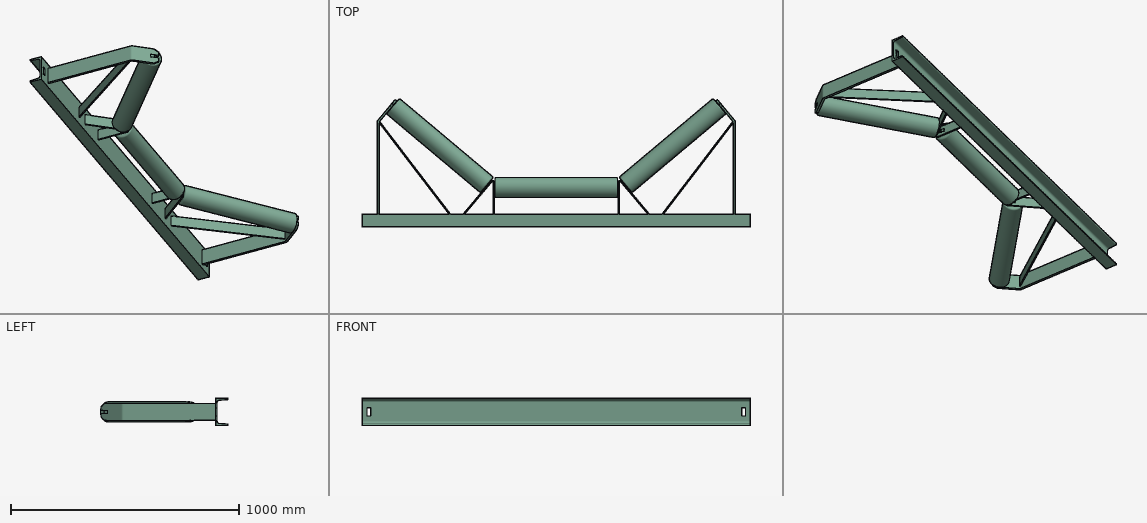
import cadquery as cq
import math

channel_length = 1700.0
channel_height = 120.0
channel_depth = 55.0
web_thickness = 7.0
flange_mean_thickness = 9.0
flange_taper = 0.08
root_radius = 9.0
toe_radius = 4.5
mounting_slot_width = 15.0
mounting_slot_length = 35.0
mounting_slot_end_distance = 30.0

roller_diameter = 89.0
roller_length = 538.0
roller_edge_radius = 7.0
shaft_diameter = 20.0
shaft_flat_width = 14.0
end_gap = 1.0
trough_angle = 40.0
overall_depth = 559.56
centre_roller_y = 171.5
wing_inner_end_x = 303.0

outer_width = 75.0
outer_thickness = 10.0
outer_bend_radius = 15.0
outer_bend_y = 462.5
outer_tip_y = 557.0
outer_tip_chamfer_across = 14.0
outer_tip_chamfer_along = 22.0
inner_width = 50.0
inner_thickness = 6.0
inner_bend_radius = 10.0
brace_width = 50.0
brace_thickness = 6.0
brace_foot_x = 466.0

sin_trough = math.sin(math.radians(trough_angle))
cos_trough = math.cos(math.radians(trough_angle))
roller_radius = roller_diameter / 2
wing_rim_top = (
    (roller_radius - roller_edge_radius) * cos_trough + roller_edge_radius * (1 - sin_trough)
)
wing_outer_end_y = overall_depth - wing_rim_top
wing_inner_end_y = wing_outer_end_y - roller_length * sin_trough
centre_post_face_x = roller_length / 2 + end_gap


def on_wing_axis(distance):
    """Point on the wing roller's axis, measured outwards from the roller's inner end."""
    return (wing_inner_end_x + distance * cos_trough, wing_inner_end_y + distance * sin_trough)


def on_wing_plate_at_y(axis_distance, y):
    """Point at height y on the plane square to the wing axis at axis_distance."""
    x0, y0 = on_wing_axis(axis_distance)
    return (x0 - (y - y0) * sin_trough / cos_trough, y)


def on_wing_plate_at_x(axis_distance, x):
    """Point at x on the plane square to the wing axis at axis_distance."""
    x0, y0 = on_wing_axis(axis_distance)
    return (x, y0 - (x - x0) * cos_trough / sin_trough)


def plate_extrusion(points, width):
    """Closed outline in the XY plane, extruded symmetrically about Z = 0."""
    return cq.Workplane("XY").polyline(points).close().extrude(width / 2, both=True)


def round_edge(body, midpoint, radius):
    """Fillet the straight edge that has the given midpoint."""
    return body.edges(cq.selectors.NearestToPointSelector(midpoint)).fillet(radius)


def round_bend(body, point, radius):
    """Fillet the bend edge parallel to Z that passes through the XY point."""
    return round_edge(body, (*point, 0), radius)


def make_channel():
    half_height = channel_height / 2
    half_taper = flange_taper * channel_depth / 2
    toe_z = half_height - (flange_mean_thickness - half_taper)
    root_y = channel_depth - web_thickness
    root_z = half_height - (flange_mean_thickness - half_taper + flange_taper * root_y)
    outline = [
        (0, half_height),
        (channel_depth, half_height),
        (channel_depth, -half_height),
        (0, -half_height),
        (0, -toe_z),
        (root_y, -root_z),
        (root_y, root_z),
        (0, toe_z),
    ]
    channel = (
        cq.Workplane("YZ").polyline(outline).close().extrude(channel_length / 2, both=True)
    )
    for side in (1, -1):
        channel = round_edge(channel, (0, root_y, side * root_z), root_radius)
        channel = round_edge(channel, (0, 0, side * toe_z), toe_radius)
    slot_x = channel_length / 2 - mounting_slot_end_distance
    slots = (
        cq.Workplane("XZ")
        .pushPoints([(slot_x, 0), (-slot_x, 0)])
        .rect(mounting_slot_width, mounting_slot_length)
        .extrude(-channel_depth)
    )
    return channel.cut(slots)


def make_roller(start_plate_thickness, end_plate_thickness):
    """Roller along +X from the origin; its shaft ends lie flush with the bracket outsides."""
    shaft_start = -end_gap - start_plate_thickness
    shaft_end = roller_length + end_gap + end_plate_thickness
    barrel = cq.Workplane("YZ").circle(roller_radius).extrude(roller_length)
    barrel = barrel.edges().fillet(roller_edge_radius)
    shaft = (
        cq.Workplane("YZ")
        .workplane(offset=shaft_start)
        .circle(shaft_diameter / 2)
        .extrude(shaft_end - shaft_start)
    )
    between_flats = cq.Workplane("XY").box(
        2 * (roller_length + shaft_end), shaft_diameter, shaft_flat_width
    )
    return barrel.union(shaft.intersect(between_flats))


def make_shaft_slot(axis_point, direction_angle, depth):
    """Cutter for a shaft slot of the given depth along the shaft, open at the plate's tip."""
    seat = (
        cq.Workplane("YZ")
        .rect(shaft_diameter, shaft_flat_width)
        .extrude(depth / 2, both=True)
        .intersect(cq.Workplane("YZ").circle(shaft_diameter / 2).extrude(depth / 2, both=True))
    )
    opening = (
        cq.Workplane("YZ")
        .center(roller_radius, 0)
        .rect(roller_diameter, shaft_flat_width)
        .extrude(depth / 2, both=True)
    )
    cutter = seat.union(opening)
    return cutter.rotate((0, 0, 0), (0, 0, 1), direction_angle).translate((*axis_point, 0))


def make_centre_roller():
    roller = make_roller(inner_thickness, inner_thickness)
    return roller.translate((-roller_length / 2, centre_roller_y, 0))


def make_wing_roller():
    roller = make_roller(inner_thickness, outer_thickness)
    roller = roller.rotate((0, 0, 0), (0, 0, 1), trough_angle)
    return roller.translate((*on_wing_axis(0), 0))


outer_plate_inside = roller_length + end_gap
outer_plate_outside = outer_plate_inside + outer_thickness
inner_plate_near = -end_gap
inner_plate_far = inner_plate_near - inner_thickness

outer_bend_outside = on_wing_plate_at_y(outer_plate_outside, outer_bend_y)
outer_post_outside_x = outer_bend_outside[0]
outer_post_inside_x = outer_post_outside_x - outer_thickness
outer_bend_inside = on_wing_plate_at_x(outer_plate_inside, outer_post_inside_x)


def make_outer_bracket():
    tip_outside = on_wing_plate_at_y(outer_plate_outside, outer_tip_y)
    tip_inside = (
        tip_outside[0] - outer_thickness * cos_trough,
        tip_outside[1] - outer_thickness * sin_trough,
    )
    outline = [
        (outer_post_outside_x, channel_depth),
        outer_bend_outside,
        tip_outside,
        tip_inside,
        outer_bend_inside,
        (outer_post_inside_x, channel_depth),
    ]
    bracket = plate_extrusion(outline, outer_width)
    bracket = round_bend(bracket, outer_bend_outside, outer_bend_radius)
    bracket = round_bend(bracket, outer_bend_inside, outer_bend_radius - outer_thickness)

    corner = (
        cq.Workplane("YZ")
        .moveTo(0, outer_width / 2)
        .lineTo(-outer_tip_chamfer_along, outer_width / 2)
        .lineTo(0, outer_width / 2 - outer_tip_chamfer_across)
        .close()
        .extrude(2 * outer_thickness, both=True)
        .rotate((0, 0, 0), (0, 0, 1), trough_angle)
        .translate((*tip_outside, 0))
    )
    bracket = bracket.cut(corner).cut(corner.mirror("XY"))
    seat_point = on_wing_axis((outer_plate_inside + outer_plate_outside) / 2)
    return bracket.cut(make_shaft_slot(seat_point, trough_angle, 2 * outer_thickness))


def make_inner_bracket():
    post_inside_x = centre_post_face_x + inner_thickness
    outside_apex = on_wing_plate_at_x(inner_plate_near, centre_post_face_x)
    inside_apex = on_wing_plate_at_x(inner_plate_far, post_inside_x)
    outline = [
        (centre_post_face_x, channel_depth),
        outside_apex,
        on_wing_plate_at_y(inner_plate_near, channel_depth),
        on_wing_plate_at_y(inner_plate_far, channel_depth),
        inside_apex,
        (post_inside_x, channel_depth),
    ]
    bracket = plate_extrusion(outline, inner_width)
    bracket = round_bend(bracket, outside_apex, inner_bend_radius)
    bracket = round_bend(bracket, inside_apex, inner_bend_radius - inner_thickness)
    post_seat = (centre_post_face_x + inner_thickness / 2, centre_roller_y)
    wing_seat = on_wing_axis((inner_plate_near + inner_plate_far) / 2)
    bracket = bracket.cut(make_shaft_slot(post_seat, 0, inner_thickness))
    return bracket.cut(make_shaft_slot(wing_seat, trough_angle, inner_thickness))


def make_brace(bracket):
    """Flat strap from the channel to the inside corner of the outer bracket's bend."""
    rise = outer_bend_inside[1] - channel_depth
    run = outer_bend_inside[0] - brace_foot_x
    half_foot = brace_thickness / 2 * math.hypot(rise, run) / rise
    outline = [
        (brace_foot_x - half_foot, channel_depth),
        (brace_foot_x + half_foot, channel_depth),
        (outer_bend_inside[0] + half_foot, outer_bend_inside[1]),
        (outer_bend_inside[0] - half_foot, outer_bend_inside[1]),
    ]
    return plate_extrusion(outline, brace_width).cut(bracket)


channel = make_channel()
centre_roller = make_centre_roller()
wing_roller = make_wing_roller()
outer_bracket = make_outer_bracket()
inner_bracket = make_inner_bracket()
brace = make_brace(outer_bracket)

bodies = [channel, centre_roller]
for wing_body in (wing_roller, outer_bracket, inner_bracket, brace):
    bodies.append(wing_body)
    bodies.append(wing_body.mirror("YZ"))

result = cq.Compound.makeCompound([body.solids().val() for body in bodies])